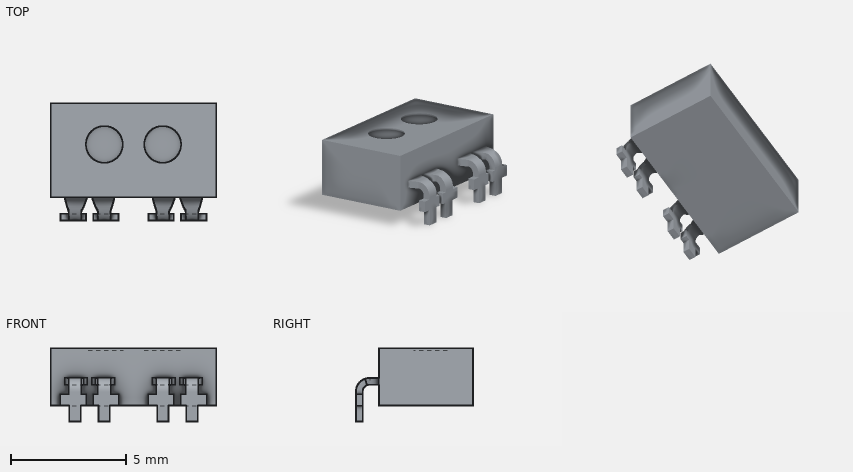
import cadquery as cq
import math

body_width = 7.2
body_depth = 4.1
body_height = 2.5

window_diameter = 1.6
window_depth = 0.1
window_offset = 1.27
window_setback = 2.305

pair_offset = 1.91
lead_pitch = 1.27
lead_thickness = 0.3
lead_top = 1.2
lead_reach = 1.0
lead_tip_drop = 0.7
bend_radius = 0.6
root_embed = 0.07

neck_width = 0.555
tip_width = 0.505
root_inner = 0.53
root_outer = 0.45
bend_inner = 0.38
bend_outer = 0.345
taper_angle = 20.0
shoulder_inner = 0.48
shoulder_outer = 0.63
shoulder_top = 0.48

bend_start = lead_reach - bend_radius
bend_axis_z = lead_top - bend_radius
bend_inner_radius = bend_radius - lead_thickness


def make_body():
    body = cq.Workplane("XY").box(body_width, body_depth, body_height, centered=(True, False, False))
    windows = (
        cq.Workplane("XY", origin=(0, 0, body_height - window_depth))
        .pushPoints([(-window_offset, window_setback), (window_offset, window_setback)])
        .circle(window_diameter / 2)
        .extrude(window_depth)
    )
    return body.cut(windows)


def block(x_min, x_max, z_min, z_max):
    """Flat piece of the vertical leg, one lead thickness deep."""
    return (
        cq.Workplane("XY", origin=(0, -lead_reach, z_min))
        .rect(x_max - x_min, lead_thickness, centered=False)
        .extrude(z_max - z_min)
        .translate((x_min, 0, 0))
    )


def make_root():
    """Horizontal strip narrowing from the housing to the bend; a short tail is embedded in the housing."""
    return (
        cq.Workplane("XY", origin=(0, 0, lead_top - lead_thickness))
        .polyline([
            (-root_outer, root_embed),
            (-root_outer, 0),
            (-bend_outer, -bend_start),
            (bend_inner, -bend_start),
            (root_inner, 0),
            (root_inner, root_embed),
        ])
        .close()
        .extrude(lead_thickness)
    )


def make_bend():
    """Quarter bend about an X axis at neck width."""
    diagonal = math.sqrt(0.5)

    def on_bend(radius):
        return (-bend_start - radius * diagonal, bend_axis_z + radius * diagonal)

    return (
        cq.Workplane("YZ", origin=(-neck_width / 2, 0, 0))
        .moveTo(-bend_start, lead_top)
        .threePointArc(on_bend(bend_radius), (-lead_reach, bend_axis_z))
        .lineTo(-lead_reach + lead_thickness, bend_axis_z)
        .threePointArc(on_bend(bend_inner_radius), (-bend_start, lead_top - lead_thickness))
        .close()
        .extrude(neck_width)
    )


def make_bend_taper():
    """First stretch of the bend, its twisted sides narrowing from the strip to the neck."""
    angle = math.radians(taper_angle)

    def radial_section(turn, outer, inner):
        direction = cq.Vector(0, -math.sin(turn), math.cos(turn))
        centre = cq.Vector(0, -bend_start, bend_axis_z)
        low = centre + direction * (bend_inner_radius / 2)
        high = centre + direction * (bend_radius * 2)
        to_outer = cq.Vector(-outer, 0, 0)
        to_inner = cq.Vector(inner, 0, 0)
        corners = [low + to_outer, low + to_inner, high + to_inner, high + to_outer]
        return cq.Wire.makePolygon(corners, close=True)

    wedge = cq.Solid.makeLoft(
        [
            radial_section(0, bend_outer, bend_inner),
            radial_section(angle, neck_width / 2, neck_width / 2),
        ],
        True,
    )
    ring = (
        cq.Workplane("YZ", origin=(-bend_outer, -bend_start, bend_axis_z))
        .circle(bend_radius)
        .circle(bend_inner_radius)
        .extrude(bend_outer + bend_inner)
    )
    return ring.intersect(cq.Workplane(wedge))


def make_lead():
    """Lead on X = 0 whose pair partner lies towards +X."""
    neck = block(-neck_width / 2, neck_width / 2, 0, bend_axis_z)
    shoulder = block(-shoulder_outer, shoulder_inner, 0, shoulder_top)
    tip = block(-tip_width / 2, tip_width / 2, -lead_tip_drop, 0)
    return make_root().union(make_bend()).union(make_bend_taper()).union(neck).union(shoulder).union(tip)


left_lead = make_lead()
right_lead = left_lead.mirror("YZ")

result = make_body()
for pair_x in (-pair_offset, pair_offset):
    result = result.union(left_lead.translate((pair_x - lead_pitch / 2, 0, 0)))
    result = result.union(right_lead.translate((pair_x + lead_pitch / 2, 0, 0)))